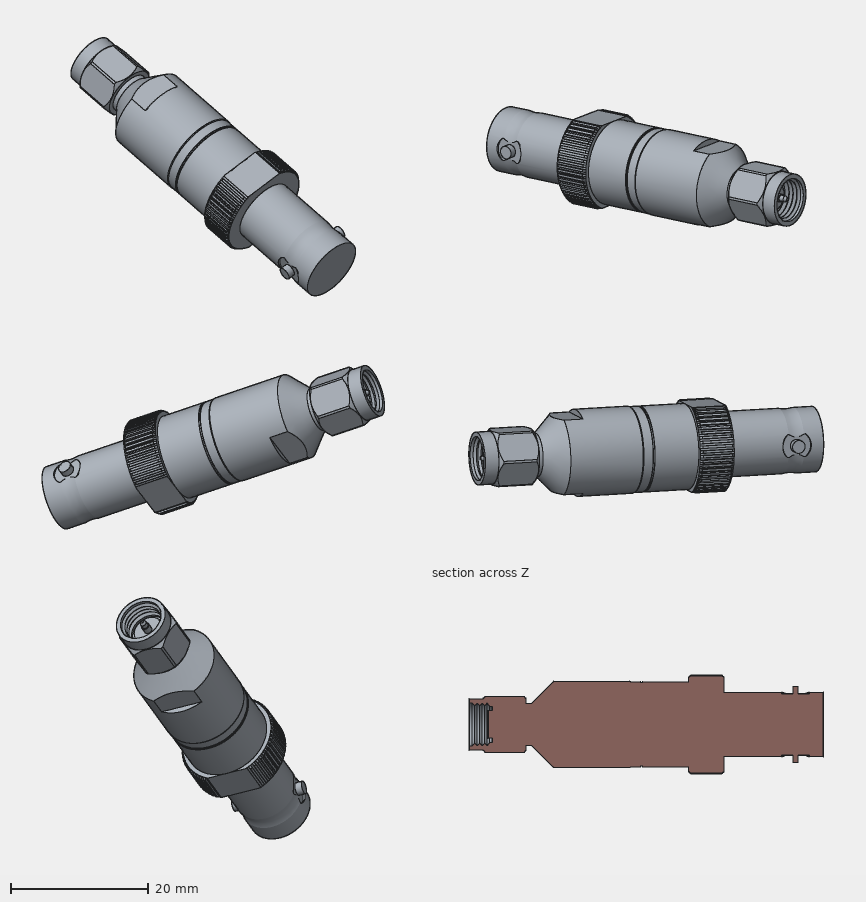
import cadquery as cq
import math


SLEEVE_DIA = 7.75
HEX_START = 2.05
HEX_END = 8.3
HEX_ACROSS_FLATS = 7.95
HEX_CORNER_DIA = 9.0
HEX_END_DIA = 7.85

SOCKET_DIA = 6.4
THREAD_CREST_DIA = 5.7
THREAD_RUNOUT_DIA = 5.5
THREAD_PITCH = 0.7
THREAD_TURNS = 3
THREAD_START = 0.45
SOCKET_DEPTH = 3.35
INSULATOR_DIA = 4.45
INSULATOR_FACE = 2.8
PIN_DIA = 1.2
PIN_TIP_DIA = 0.95
PIN_POINT_DIA = 0.4
PIN_START = 0.5
PIN_POINT_LENGTH = 0.4
PIN_SHOULDER = 1.65

NECK_DIA = 6.4
CONE_START = 9.1
CONE_END = 12.3
BODY_DIA = 12.75
BODY_END = 23.4
BODY_END_BEVEL = 0.15
COLLAR_DIA = 12.6
COLLAR_GROOVE_START = 25.0
COLLAR_GROOVE_WIDTH = 0.25
COLLAR_GROOVE_DEPTH = 0.1
WRENCH_FLAT_GAP = 11.05
WRENCH_FLAT_END = 15.2

KNURL_START = 31.95
KNURL_END = 37.2
KNURL_DIA = 14.5
KNURL_ROOT_DIA = 13.95
KNURL_CHAMFER = 0.35
KNURL_TEETH = 64
KNURL_TIP_WIDTH = 0.35
KNURL_ROOT_WIDTH = 0.3
KNURL_FLAT_GAP = 12.6

LENGTH = 51.65
BARREL_DIA = 9.6
BAYONET_X = 47.55
BAYONET_GROOVE_WIDTH = 2.3
BAYONET_GROOVE_DEPTH = 0.13
SPOTFACE_DIA = 4.35
SPOTFACE_GAP = 9.0
BAYONET_PIN_DIA = 1.9
BAYONET_PIN_SPAN = 11.1


def revolve_x(profile):
    """Solid of revolution about X from a closed XY profile."""
    return profile.close().revolve(360, (0, 0, 0), (1, 0, 0))


def turned(points):
    """Turned solid from (x, diameter) points; the outline returns along the axis."""
    outline = [(points[0][0], 0)]
    outline += [(x, dia / 2) for x, dia in points]
    outline += [(points[-1][0], 0)]
    return revolve_x(cq.Workplane("XY").polyline(outline))


def slab(start, end, height):
    """Wide block centred on the axis, limiting a stretch of the part to a Z height."""
    length = end - start
    return cq.Workplane("XY").box(length, 2 * KNURL_DIA, height).translate((start + length / 2, 0, 0))


def make_hex_nut():
    chamfer = (HEX_CORNER_DIA - HEX_END_DIA) / 2
    prism = (
        cq.Workplane("YZ", origin=(HEX_START, 0, 0))
        .polygon(6, HEX_ACROSS_FLATS / math.cos(math.pi / 6))
        .extrude(HEX_END - HEX_START)
    )
    envelope = turned([
        (HEX_START, HEX_END_DIA),
        (HEX_START + chamfer, HEX_CORNER_DIA),
        (HEX_END - chamfer, HEX_CORNER_DIA),
        (HEX_END, HEX_END_DIA),
    ])
    return prism.intersect(envelope)


def make_socket():
    """Space inside the coupling nut: entry bore and ring-shaped thread grooves."""
    points = [(0, SOCKET_DIA), (THREAD_START, SOCKET_DIA)]
    for turn in range(THREAD_TURNS):
        crest = THREAD_START + (turn + 0.5) * THREAD_PITCH
        points += [(crest, THREAD_CREST_DIA), (crest + THREAD_PITCH / 2, SOCKET_DIA)]
    thread_end = THREAD_START + (THREAD_TURNS + 0.5) * THREAD_PITCH
    points += [(thread_end, THREAD_RUNOUT_DIA), (SOCKET_DEPTH, THREAD_RUNOUT_DIA)]
    return turned(points)


def make_contact():
    """Insulator boss with the stepped centre pin standing on it."""
    return turned([
        (PIN_START, PIN_POINT_DIA),
        (PIN_START + PIN_POINT_LENGTH, PIN_TIP_DIA),
        (PIN_SHOULDER, PIN_TIP_DIA),
        (PIN_SHOULDER, PIN_DIA),
        (INSULATOR_FACE, PIN_DIA),
        (INSULATOR_FACE, INSULATOR_DIA),
        (SOCKET_DEPTH, INSULATOR_DIA),
    ])


def make_body():
    groove_end = COLLAR_GROOVE_START + COLLAR_GROOVE_WIDTH
    groove_dia = COLLAR_DIA - 2 * COLLAR_GROOVE_DEPTH
    body = turned([
        (HEX_END, NECK_DIA),
        (CONE_START, NECK_DIA),
        (CONE_END, BODY_DIA),
        (BODY_END, BODY_DIA),
        (BODY_END + BODY_END_BEVEL, COLLAR_DIA),
        (COLLAR_GROOVE_START, COLLAR_DIA),
        (COLLAR_GROOVE_START, groove_dia),
        (groove_end, groove_dia),
        (groove_end, COLLAR_DIA),
        (KNURL_START, COLLAR_DIA),
    ])
    outside_flats = slab(HEX_END, WRENCH_FLAT_END, 2 * BODY_DIA).cut(
        slab(HEX_END, WRENCH_FLAT_END, WRENCH_FLAT_GAP)
    )
    return body.cut(outside_flats)


def polar_point(radius, angle):
    return (radius * math.cos(angle), radius * math.sin(angle))


def make_knurled_ring():
    envelope = turned([
        (KNURL_START, KNURL_ROOT_DIA),
        (KNURL_START + KNURL_CHAMFER, KNURL_DIA),
        (KNURL_END - KNURL_CHAMFER, KNURL_DIA),
        (KNURL_END, KNURL_ROOT_DIA),
    ])
    pitch_angle = 2 * math.pi / KNURL_TEETH
    half_tip_angle = KNURL_TIP_WIDTH / KNURL_DIA
    half_base_angle = pitch_angle / 2 - KNURL_ROOT_WIDTH / KNURL_ROOT_DIA
    outline = []
    for tooth in range(KNURL_TEETH):
        centre = (tooth + 0.5) * pitch_angle
        outline += [
            polar_point(KNURL_ROOT_DIA / 2, centre - half_base_angle),
            polar_point(KNURL_DIA / 2, centre - half_tip_angle),
            polar_point(KNURL_DIA / 2, centre + half_tip_angle),
            polar_point(KNURL_ROOT_DIA / 2, centre + half_base_angle),
        ]
    teeth = (
        cq.Workplane("YZ", origin=(KNURL_START, 0, 0))
        .polyline(outline)
        .close()
        .extrude(KNURL_END - KNURL_START)
    )
    return teeth.intersect(envelope).intersect(slab(KNURL_START, KNURL_END, KNURL_FLAT_GAP))


def make_bayonet_barrel():
    radius = BARREL_DIA / 2
    half_groove = BAYONET_GROOVE_WIDTH / 2
    barrel = revolve_x(
        cq.Workplane("XY")
        .moveTo(KNURL_END, 0)
        .lineTo(KNURL_END, radius)
        .lineTo(BAYONET_X - half_groove, radius)
        .threePointArc(
            (BAYONET_X, radius - BAYONET_GROOVE_DEPTH),
            (BAYONET_X + half_groove, radius),
        )
        .lineTo(LENGTH, radius)
        .lineTo(LENGTH, 0)
    )
    across = cq.Workplane("XZ").center(BAYONET_X, 0)
    outside_spotfaces = (
        across.circle(SPOTFACE_DIA / 2).extrude(BARREL_DIA, both=True)
        .cut(across.circle(SPOTFACE_DIA / 2).extrude(SPOTFACE_GAP / 2, both=True))
    )
    pins = across.circle(BAYONET_PIN_DIA / 2).extrude(BAYONET_PIN_SPAN / 2, both=True)
    return barrel.cut(outside_spotfaces).union(pins)


sleeve = turned([(0, SLEEVE_DIA), (HEX_START, SLEEVE_DIA)])
coupling_nut = sleeve.union(make_hex_nut()).cut(make_socket()).union(make_contact())
result = coupling_nut.union(make_body()).union(make_knurled_ring()).union(make_bayonet_barrel())